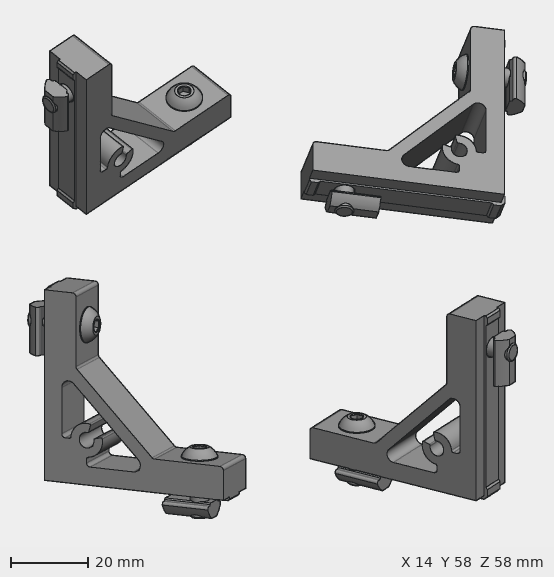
import cadquery as cq
import math


WIDTH = 14.0
LEG_LENGTH = 51.0
LEG_THICKNESS = 9.0
END_RADIUS = 1.0
WEB_START = 31.0
WEB_BLEND_RADIUS = 1.0
WEB_THICKNESS = 3.5

RIB_WIDTH = 6.15
RIB_HEIGHT = 0.5
NUB_HEIGHT = 2 * RIB_HEIGHT
END_NUB_LENGTH = 2.9
CORNER_NUB_END = 2.5

POCKET_WALL = 4.95
POCKET_TIP_RADIUS = 2.0
HOOK_CENTER = 12.0
HOOK_OUTER_RADIUS = 4.5
HOOK_INNER_RADIUS = 2.1
HOOK_MOUTH_ANGLE = 60.0
HOOK_END_RADIUS = 0.35
SLOT_RADIUS = 1.0
HOOK_ROOT_RADIUS = 0.5

SCREW_FROM_END = 10.0
SCREW_POSITION = LEG_LENGTH - SCREW_FROM_END
SHANK_DIAMETER = 5.0
SHANK_LENGTH = 16.0
SHANK_TIP_CHAMFER = 0.4
CLEARANCE_DIAMETER = 5.5
HEAD_DIAMETER = 9.5
HEAD_HEIGHT = 2.7
HEAD_RIM_HEIGHT = 0.3
HEAD_TOP_DIAMETER = 5.0
SOCKET_ACROSS_FLATS = 3.0
SOCKET_DEPTH = 2.0
SOCKET_LEAD_IN_DIAMETER = 3.55

NUT_LENGTH = 13.0
NUT_FROM_END = 5.8
NUT_TOP = -2.4
NUT_BOTTOM = -6.7
NUT_NECK_WIDTH = 5.1
NUT_NECK_CHAMFER = 0.35
NUT_NECK_FILLET = 0.3
NUT_SHOULDER_DEPTH = 0.7
NUT_WIDTH = 8.0
NUT_SHOULDER_RADIUS = 0.8
NUT_BOTTOM_WIDTH = 3.0
NUT_FLANK_BULGE = 0.25


def mirrored_outline(points):
    """Complete an outline from its half along the Y leg by swapping Y and Z."""
    return points + [(z, y) for y, z in reversed(points)]


def extrude_across(profile_plane, width):
    """Extrude a YZ profile symmetrically about X = 0."""
    return profile_plane.extrude(width / 2, both=True)


def turn_to_upright_leg(body):
    """Half a turn about the line Y = Z swaps the Y leg position for the Z leg position."""
    return body.rotate((0, 0, 0), (0, 1, 1), 180)


def fillet_at(body, points, radius):
    """Fillet the X-parallel edges nearest to the given YZ points."""
    for y, z in points:
        edge = cq.selectors.NearestToPointSelector((0, y, z))
        body = body.edges("|X").edges(edge).fillet(radius)
    return body


def make_bracket_plate():
    """Two legs joined by a sloped web, at full width and without openings."""
    half = [
        (LEG_LENGTH, 0),
        (LEG_LENGTH, LEG_THICKNESS),
        (WEB_START, LEG_THICKNESS),
    ]
    outline = [(0, 0)] + mirrored_outline(half)
    plate = extrude_across(cq.Workplane("YZ").polyline(outline).close(), WIDTH)
    leg_ends = [(LEG_LENGTH, LEG_THICKNESS), (LEG_THICKNESS, LEG_LENGTH)]
    plate = fillet_at(plate, leg_ends, END_RADIUS)
    web_corners = [(WEB_START, LEG_THICKNESS), (LEG_THICKNESS, WEB_START)]
    return fillet_at(plate, web_corners, WEB_BLEND_RADIUS)


def make_key_rib():
    """Narrow rib under both legs; its outer corner is cut off between the two corner nubs."""
    step = NUB_HEIGHT - RIB_HEIGHT
    half = [
        (0, -NUB_HEIGHT),
        (CORNER_NUB_END - step, -NUB_HEIGHT),
        (CORNER_NUB_END, -RIB_HEIGHT),
        (LEG_LENGTH - END_NUB_LENGTH, -RIB_HEIGHT),
        (LEG_LENGTH - END_NUB_LENGTH + step, -NUB_HEIGHT),
        (LEG_LENGTH - step, -NUB_HEIGHT),
        (LEG_LENGTH, -RIB_HEIGHT),
        (LEG_LENGTH, 0),
    ]
    outline = [(0, 0)] + mirrored_outline(half[::-1])
    return extrude_across(cq.Workplane("YZ").polyline(outline).close(), RIB_WIDTH)


def make_hook():
    """Open ring whose mouth faces the web."""
    def on_ring(radius, degrees):
        angle = math.radians(degrees)
        return (HOOK_CENTER + radius * math.cos(angle), HOOK_CENTER + radius * math.sin(angle))

    first = 45 - HOOK_MOUTH_ANGLE / 2
    last = 45 + HOOK_MOUTH_ANGLE / 2
    opposite = 45 + 180
    profile = (
        cq.Workplane("YZ")
        .moveTo(*on_ring(HOOK_OUTER_RADIUS, last))
        .threePointArc(on_ring(HOOK_OUTER_RADIUS, opposite), on_ring(HOOK_OUTER_RADIUS, first))
        .lineTo(*on_ring(HOOK_INNER_RADIUS, first))
        .threePointArc(on_ring(HOOK_INNER_RADIUS, opposite), on_ring(HOOK_INNER_RADIUS, last))
        .close()
    )
    ends = [
        on_ring(radius, degrees)
        for radius in (HOOK_OUTER_RADIUS, HOOK_INNER_RADIUS)
        for degrees in (first, last)
    ]
    return fillet_at(extrude_across(profile, WIDTH), ends, HOOK_END_RADIUS)


def make_pocket():
    """Solid that is removed from the plate; it leaves the hook standing."""
    web_sum = WEB_START + LEG_THICKNESS - WEB_THICKNESS * math.sqrt(2)
    tip = web_sum - POCKET_WALL
    outline = [
        (HOOK_CENTER, POCKET_WALL),
        (tip, POCKET_WALL),
        (POCKET_WALL, tip),
        (POCKET_WALL, HOOK_CENTER),
        (HOOK_CENTER, HOOK_CENTER),
    ]
    pocket = extrude_across(cq.Workplane("YZ").polyline(outline).close(), WIDTH)
    pocket = fillet_at(pocket, [(tip, POCKET_WALL), (POCKET_WALL, tip)], POCKET_TIP_RADIUS)
    slot_corners = [(HOOK_CENTER, POCKET_WALL), (POCKET_WALL, HOOK_CENTER)]
    pocket = fillet_at(pocket, slot_corners, SLOT_RADIUS)

    eye = extrude_across(
        cq.Workplane("YZ").center(HOOK_CENTER, HOOK_CENTER).circle(HOOK_INNER_RADIUS), WIDTH
    )
    pocket = pocket.cut(make_hook())
    root = HOOK_CENTER - HOOK_OUTER_RADIUS
    pocket = fillet_at(pocket, [(HOOK_CENTER, root), (root, HOOK_CENTER)], HOOK_ROOT_RADIUS)
    return pocket.union(eye)


def make_clearance_hole():
    """Screw hole through the Y leg."""
    return (
        cq.Workplane("XY", origin=(0, SCREW_POSITION, -NUB_HEIGHT))
        .circle(CLEARANCE_DIAMETER / 2)
        .extrude(NUB_HEIGHT + LEG_THICKNESS)
    )


def make_bracket():
    hole = make_clearance_hole()
    return (
        make_bracket_plate()
        .union(make_key_rib())
        .cut(make_pocket())
        .cut(hole)
        .cut(turn_to_upright_leg(hole))
    )


def make_socket():
    """Hexagonal recess with a 45 degree conical lead-in, sunk from the top of the head."""
    across_corners = SOCKET_ACROSS_FLATS / math.cos(math.radians(30))
    hexagon = (
        cq.Workplane("XY", origin=(0, 0, HEAD_HEIGHT - SOCKET_DEPTH))
        .transformed(rotate=(0, 0, 90))
        .polygon(6, across_corners)
        .extrude(SOCKET_DEPTH)
    )
    mouth_radius = SOCKET_LEAD_IN_DIAMETER / 2
    throat_radius = SOCKET_ACROSS_FLATS / 2
    cone_depth = mouth_radius - throat_radius
    cone = cq.Solid.makeCone(
        mouth_radius, throat_radius, cone_depth, cq.Vector(0, 0, HEAD_HEIGHT), cq.Vector(0, 0, -1)
    )
    return hexagon.union(cq.Workplane(cone))


def make_screw():
    """Button-head screw in the Y leg, its head seated on the inner face."""
    rim_radius = HEAD_DIAMETER / 2
    top_radius = HEAD_TOP_DIAMETER / 2
    shank_radius = SHANK_DIAMETER / 2

    dome_rise = HEAD_HEIGHT - HEAD_RIM_HEIGHT
    center_above_rim = (top_radius**2 + dome_rise**2 - rim_radius**2) / (2 * dome_rise)
    dome_radius = math.hypot(rim_radius, center_above_rim)
    dome_center = HEAD_RIM_HEIGHT + center_above_rim
    mid_radius = (rim_radius + top_radius) / 2
    mid_height = dome_center + math.sqrt(dome_radius**2 - mid_radius**2)

    screw = (
        cq.Workplane("XZ")
        .moveTo(0, -SHANK_LENGTH)
        .lineTo(shank_radius - SHANK_TIP_CHAMFER, -SHANK_LENGTH)
        .lineTo(shank_radius, -SHANK_LENGTH + SHANK_TIP_CHAMFER)
        .lineTo(shank_radius, 0)
        .lineTo(rim_radius, 0)
        .lineTo(rim_radius, HEAD_RIM_HEIGHT)
        .threePointArc((mid_radius, mid_height), (top_radius, HEAD_HEIGHT))
        .lineTo(0, HEAD_HEIGHT)
        .close()
        .revolve(360, (0, 0, 0), (0, 1, 0))
    )
    return screw.cut(make_socket()).translate((0, SCREW_POSITION, LEG_THICKNESS))


def make_nut():
    """Slot nut on the screw of the Y leg, lengthwise along Y."""
    neck = NUT_NECK_WIDTH / 2
    side = NUT_WIDTH / 2
    bottom = NUT_BOTTOM_WIDTH / 2
    shoulder = NUT_TOP - NUT_SHOULDER_DEPTH
    widest = shoulder - NUT_SHOULDER_RADIUS
    diagonal = math.sqrt(0.5)

    shoulder_mid = (
        side - NUT_SHOULDER_RADIUS * (1 - diagonal),
        widest + NUT_SHOULDER_RADIUS * diagonal,
    )
    neck_mid = (
        neck + NUT_NECK_FILLET * (1 - diagonal),
        shoulder + NUT_NECK_FILLET * (1 - diagonal),
    )
    half = (
        cq.Workplane("XZ")
        .moveTo(0, NUT_TOP)
        .lineTo(neck - NUT_NECK_CHAMFER, NUT_TOP)
        .lineTo(neck, NUT_TOP - NUT_NECK_CHAMFER)
        .lineTo(neck, shoulder + NUT_NECK_FILLET)
        .threePointArc(neck_mid, (neck + NUT_NECK_FILLET, shoulder))
        .lineTo(side - NUT_SHOULDER_RADIUS, shoulder)
        .threePointArc(shoulder_mid, (side, widest))
        .sagittaArc((bottom, NUT_BOTTOM), NUT_FLANK_BULGE)
        .lineTo(0, NUT_BOTTOM)
        .mirrorY()
    )
    far_end = LEG_LENGTH - NUT_FROM_END
    nut = half.extrude(NUT_LENGTH).translate((0, far_end, 0))
    thread = (
        cq.Workplane("XY", origin=(0, SCREW_POSITION, NUT_BOTTOM))
        .circle(SHANK_DIAMETER / 2)
        .extrude(NUT_TOP - NUT_BOTTOM)
    )
    return nut.cut(thread)


bracket = make_bracket()
bodies = [bracket.solids().val()]
for make_fastener in (make_screw, make_nut):
    fastener = make_fastener()
    for placed in (fastener, turn_to_upright_leg(fastener)):
        bodies.append(placed.solids().val())

result = cq.Compound.makeCompound(bodies)